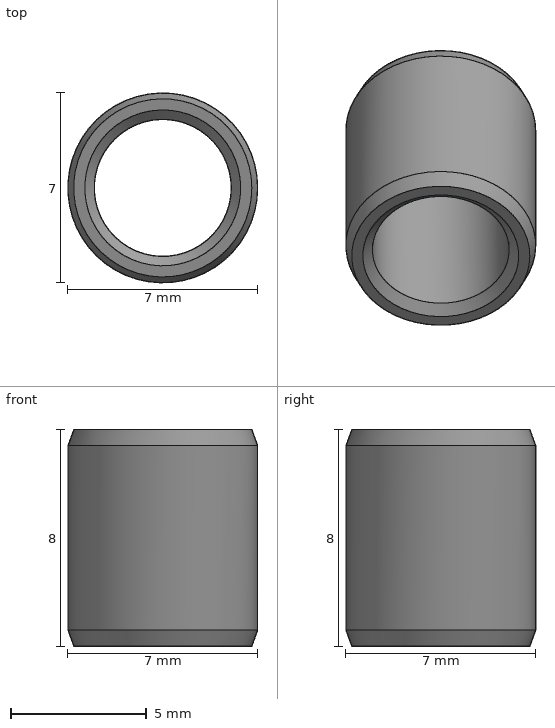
import cadquery as cq
import math

length = 8.0
outer_diameter = 7.0
bore_diameter = 5.04
lead_in_height = 0.6
lead_in_angle = 20.0
bore_chamfer = 0.35

outer_radius = outer_diameter / 2
bore_radius = bore_diameter / 2
lead_in_inset = lead_in_height * math.tan(math.radians(lead_in_angle))
end_radius = outer_radius - lead_in_inset
mouth_radius = bore_radius + bore_chamfer

wall_section = [
    (mouth_radius, 0),
    (end_radius, 0),
    (outer_radius, lead_in_height),
    (outer_radius, length - lead_in_height),
    (end_radius, length),
    (mouth_radius, length),
    (bore_radius, length - bore_chamfer),
    (bore_radius, bore_chamfer),
]

result = (
    cq.Workplane("XZ")
    .polyline(wall_section)
    .close()
    .revolve(360, (0, 0, 0), (0, 1, 0))
)